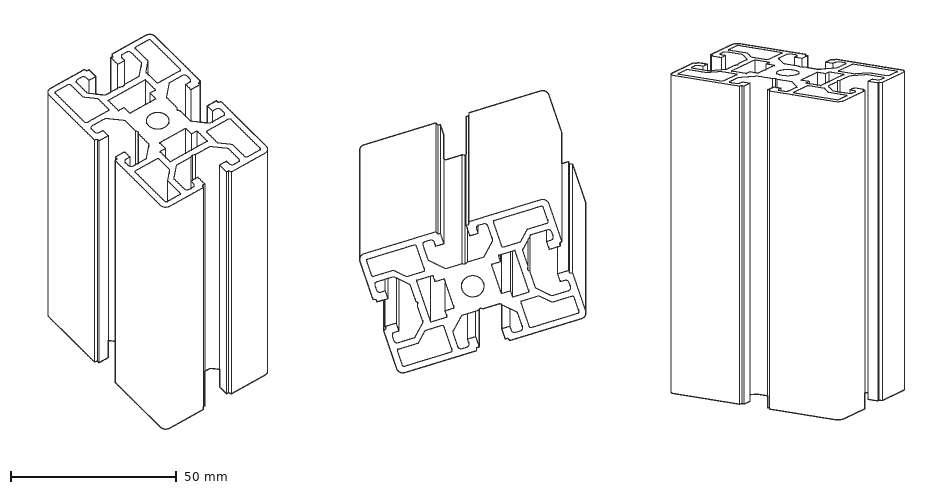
import cadquery as cq


width = 60.0
depth = 40.0
length = 100.0
half_width = width / 2
half_depth = depth / 2
corner_radius = 2.0
wall = 2.0

mouth_half = 4.9
mouth_outer_half = 5.25
mouth_step = 0.9
lip_half = 4.1
lip_inner_half = 6.75
lip_depth = 4.4
cavity_half = 10.25
cavity_radius = 1.0
slot_depth = 12.15
long_side_bevel = 4.2
short_side_bevel = 3.9
bevel_radius = 0.3
groove_half = 0.8
groove_depth = 0.45

rib = 2.0
chamber_inner_x = cavity_half + rib
chamber_outer_x = half_width - wall
chamber_top_y = half_depth - wall
chamber_ledge_y = cavity_half + rib
chamber_floor_y = 9.05
chamber_slope_x = 18.05
chamber_slope_run = chamber_ledge_y - chamber_floor_y
chamber_radius = 0.5

core_chamber_outer_x = 15.6
core_chamber_step_x = 10.4
core_chamber_inner_x = 7.5
core_chamber_half = 7.0
core_chamber_step_half = 4.9

core_hole_diameter = 6.8


def prism(points):
    """Extrude a closed polygon over the full profile length."""
    return cq.Workplane("XY").polyline(points).close().extrude(length)


def round_corners(body, corners, radius):
    """Round the lengthwise edges standing on the given XY corners."""
    for corner in corners:
        edge = cq.selectors.NearestToPointSelector((*corner, length / 2))
        body = body.edges(edge).fillet(radius)
    return body


def half_slot(bevel, place):
    """Half of a T-slot; place maps (across, inward) to the XY position."""
    cavity_corners = [(lip_inner_half, wall), (cavity_half, wall)]
    bevel_corners = [(cavity_half, slot_depth - bevel), (cavity_half - bevel, slot_depth)]
    outline = [
        (0, 0),
        (mouth_outer_half, 0),
        (mouth_half, mouth_step),
        (lip_half, mouth_step),
        (lip_half, lip_depth),
        (lip_inner_half, lip_depth),
        *cavity_corners,
        *bevel_corners,
        (groove_half, slot_depth),
        (0, slot_depth + groove_depth),
    ]
    slot = prism([place(across, inward) for across, inward in outline])
    slot = round_corners(slot, [place(*corner) for corner in cavity_corners], cavity_radius)
    return round_corners(slot, [place(*corner) for corner in bevel_corners], bevel_radius)


def corner_chamber():
    """Closed chamber in the corner, with a floor that drops toward the core."""
    square_corners = [
        (chamber_outer_x, chamber_ledge_y),
        (chamber_outer_x, chamber_top_y),
        (chamber_inner_x, chamber_top_y),
        (chamber_inner_x, chamber_floor_y),
    ]
    slope_corners = [
        (chamber_slope_x, chamber_floor_y),
        (chamber_slope_x + chamber_slope_run, chamber_ledge_y),
    ]
    chamber = prism(square_corners + slope_corners)
    chamber = round_corners(chamber, square_corners, chamber_radius)
    return round_corners(chamber, slope_corners, bevel_radius)


def half_core_chamber():
    """Upper half of the stepped chamber beside the core."""
    return prism([
        (core_chamber_inner_x, 0),
        (core_chamber_outer_x, 0),
        (core_chamber_outer_x, core_chamber_half),
        (core_chamber_step_x, core_chamber_half),
        (core_chamber_step_x, core_chamber_step_half),
        (core_chamber_inner_x, core_chamber_step_half),
    ])


def quarter_profile():
    """The +X, +Y quarter of the profile."""
    quarter = cq.Workplane("XY").rect(half_width, half_depth, centered=False).extrude(length)
    quarter = round_corners(quarter, [(half_width, half_depth)], corner_radius)
    quarter = quarter.cut(half_slot(long_side_bevel, lambda across, inward: (across, half_depth - inward)))
    quarter = quarter.cut(half_slot(short_side_bevel, lambda across, inward: (half_width - inward, across)))
    quarter = quarter.cut(corner_chamber())
    return quarter.cut(half_core_chamber())


half = quarter_profile()
half = half.union(half.mirror("YZ"))
profile = half.union(half.mirror("XZ")).clean()
core_hole = cq.Workplane("XY").circle(core_hole_diameter / 2).extrude(length)
result = profile.cut(core_hole)